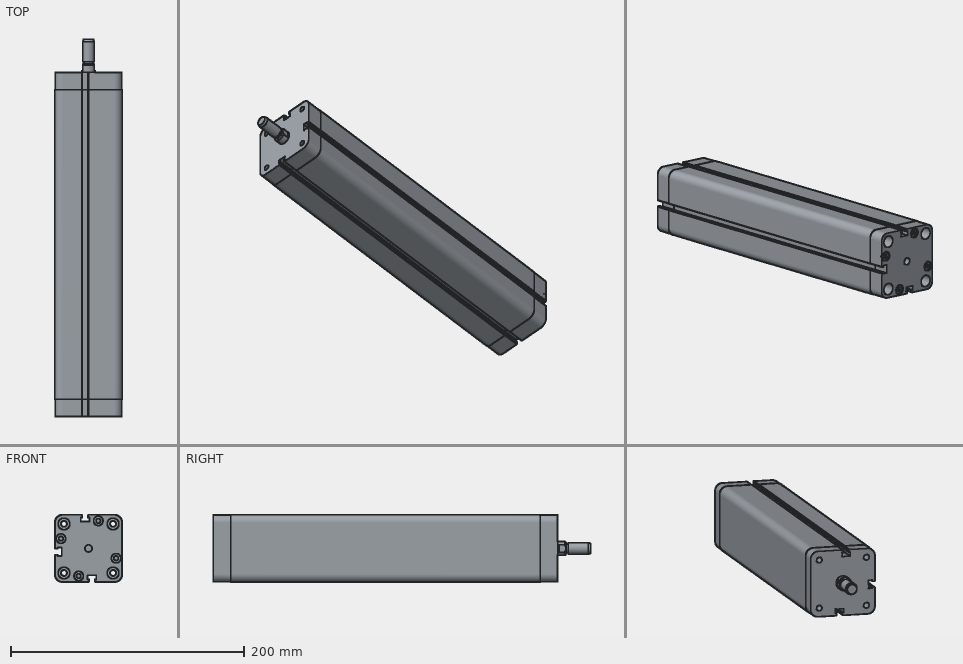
import cadquery as cq

total_length = 324.0
side = 58.0
corner_radius = 6.8
rod_reach = 28.5
cap_length = 15.0
cap_step = 0.25

slot_offset = 3.0
slot_mouth_width = 5.0
slot_mouth_chamfer = 0.5
slot_width = 7.0
slot_lip = 2.3
slot_depth = 5.8

corner_hole_offset = 21.0
corner_hole_diameter = 5.0
corner_bore_diameter = 10.0
corner_bore_depth = 15.0

screw_side_offset = 8.5
screw_edge_offset = 23.5
screw_pocket_diameter = 8.0
screw_pocket_depth = 2.0
screw_socket_diameter = 4.0
screw_socket_depth = 2.0

centre_hole_diameter = 6.0
centre_hole_depth = 6.0

rod_diameter = 12.0
rod_collar_length = 7.5
rod_chamfer = 1.3
flat_width = 10.0
flat_length = 6.0
neck_diameter = 7.8
neck_length = 1.5
thread_diameter = 10.0
tip_diameter = 8.5
tip_length = 2.3

rear_y = -total_length / 2
face_y = total_length / 2 - rod_reach
body_length = total_length - rod_reach
half_side = side / 2


def cylinder_along_y(x, z, diameter, start_y, length):
    circle = cq.Workplane("XZ", origin=(x, start_y, z)).circle(diameter / 2)
    return circle.extrude(-length)


def box_between(x_range, y_range, z_range):
    size = [high - low for low, high in (x_range, y_range, z_range)]
    corner = (x_range[0], y_range[0], z_range[0])
    return cq.Workplane("XY").box(*size, centered=False).translate(corner)


def rounded_bar(width, radius, start_y, length):
    square = cq.Workplane("XZ", origin=(0, start_y, 0)).rect(width, width)
    return square.extrude(-length).edges("|Y").fillet(radius)


def turned_about_y(shape, angle):
    return shape.rotate((0, 0, 0), (0, 1, 0), angle)


def make_top_slot(surface_z, start_y, length):
    mouth_half = slot_mouth_width / 2
    slot_half = slot_width / 2
    floor_z = surface_z - slot_depth
    lip_z = surface_z - slot_lip
    right_side = [
        (slot_half, floor_z),
        (slot_half, lip_z),
        (mouth_half, lip_z),
        (mouth_half, surface_z - slot_mouth_chamfer),
        (mouth_half + slot_mouth_chamfer, surface_z),
    ]
    left_side = [(-x, z) for x, z in reversed(right_side)]
    profile = cq.Workplane("XZ", origin=(-slot_offset, start_y, 0)).polyline(right_side + left_side)
    return profile.close().extrude(-length)


def make_slotted_bar(inset, start_y, length):
    surface = half_side - inset
    bar = rounded_bar(2 * surface, corner_radius - inset, start_y, length)
    for angle in (-90, 0, 180):
        bar = bar.cut(turned_about_y(make_top_slot(surface, start_y, length), angle))
    return bar


def make_body():
    rear_cap = make_slotted_bar(cap_step, rear_y, cap_length)
    tube = make_slotted_bar(0, rear_y + cap_length, body_length - 2 * cap_length)
    front_cap = make_slotted_bar(cap_step, face_y - cap_length, cap_length)
    return rear_cap.union(tube).union(front_cap)


def make_top_screw_pocket():
    x, z = screw_side_offset, screw_edge_offset
    pocket = cylinder_along_y(x, z, screw_pocket_diameter, rear_y, screw_pocket_depth)
    socket_floor = screw_pocket_depth + screw_socket_depth
    socket = cylinder_along_y(x, z, screw_socket_diameter, rear_y, socket_floor)
    return pocket.union(socket)


def make_rod():
    rod_radius = rod_diameter / 2
    root_y = face_y - cap_length / 2
    neck_y = face_y + rod_collar_length
    thread_y = neck_y + neck_length
    tip_y = total_length / 2
    profile = [
        (0, root_y),
        (rod_radius, root_y),
        (rod_radius, neck_y - rod_chamfer),
        (rod_radius - rod_chamfer, neck_y),
        (neck_diameter / 2, neck_y),
        (neck_diameter / 2, thread_y),
        (thread_diameter / 2, thread_y),
        (thread_diameter / 2, tip_y - tip_length),
        (tip_diameter / 2, tip_y),
        (0, tip_y),
    ]
    rod = cq.Workplane("XY").polyline(profile).close().revolve(360, (0, 0, 0), (0, 1, 0))
    half_rod = (-rod_radius, rod_radius)
    cutter = box_between((flat_width / 2, rod_radius), (neck_y - flat_length, neck_y), half_rod)
    for angle in (0, 180):
        rod = rod.cut(turned_about_y(cutter, angle))
    return rod


def make_corner_hole(x, z):
    through = cylinder_along_y(x, z, corner_hole_diameter, rear_y, body_length)
    bore = cylinder_along_y(x, z, corner_bore_diameter, rear_y, corner_bore_depth)
    return through.union(bore)


centre_hole = cylinder_along_y(0, 0, centre_hole_diameter, rear_y, centre_hole_depth)

result = make_body().union(make_rod())
for angle in (0, 90, 180, 270):
    result = result.cut(turned_about_y(make_top_screw_pocket(), angle))
for x in (-corner_hole_offset, corner_hole_offset):
    for z in (-corner_hole_offset, corner_hole_offset):
        result = result.cut(make_corner_hole(x, z))
result = result.cut(centre_hole)